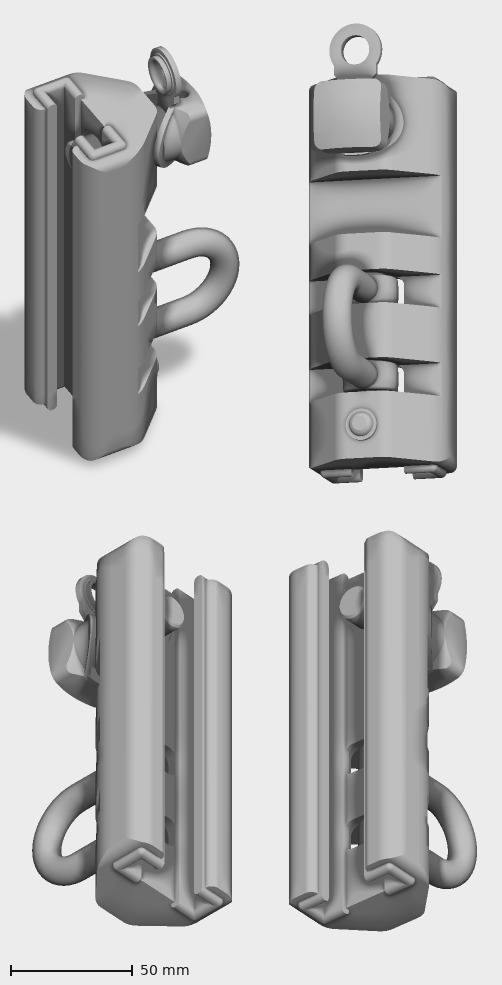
import cadquery as cq
import math


housing_length = 160.0
half_width = 30.0
housing_depth = 44.0
floor_y = 19.4
lip_tip_x = 13.2
lip_corner_radius = 8.0
shoulder_y = 16.5
shoulder_radius = 18.0
back_radius = 8.0
end_corner_radius = 4.0

liner_half_opening = 11.3
liner_outer_x = 25.0
liner_bottom_y = 3.7
lip_tip_radius = liner_bottom_y
liner_height = 17.5
liner_thickness = 4.5
liner_overhang = 2.75
liner_end_round = 2.0
liner_corner_radius = 2.05
liner_top_y = liner_bottom_y + liner_height

slot_bottom_y = 24.0
notch_bottom_z = 14.1
notch_top_z = 40.2
shackle_z = -26.75
slot_height = 14.0
slot_offset = 18.5
window_length = 25.0
window_corner_radius = 4.5

rod_diameter = 12.0
bow_radius = 18.0
bow_center_y = 63.0
eye_diameter = 23.0
eye_height = rod_diameter
eye_bulge = 0.4
eye_edge_round = 1.2
pivot_y = 31.3
pivot_diameter = 12.2
pivot_hole_diameter = 12.3
pivot_end_margin = 4.0

plunger_z = 60.15
pin_diameter = 14.9
pin_tip_y = 9.4
pin_chamfer = 0.95
pin_recess_diameter = 19.8
stem_diameter = 18.0
collar_diameter = 28.6
knob_width = collar_diameter
knob_corner_radius = 3.5
knob_base_y = 52.3
knob_peak_y = 68.9
collar_front_y = 44.5
dome_radius = 45.0
knob_hole_y = 61.0
knob_hole_diameter = 5.0
knob_hole_mouth = 6.5
knob_pilot_diameter = 3.0
knob_hole_depth = 5.0
knob_pilot_depth = 8.0

strap_back_y = 54.3
strap_thickness = 2.4
strap_flat_half = 6.0
strap_wing_angle = 52.5
strap_radius = 15.2
strap_spread = 1.5
neck_base_z = plunger_z + 18.6
neck_width = 18.0
ring_diameter = 22.0
ring_top_z = 99.9
ring_z = ring_top_z - ring_diameter / 2
grommet_diameter = 16.0
grommet_hole = 12.2
grommet_height = 2.7
grommet_hole_round = 1.2
grommet_flare_diameter = 18.0
grommet_flare_height = 0.6

screw_z = -66.2
washer_diameter = 13.2
washer_height = 1.5
button_diameter = 10.0
button_top_diameter = 6.0
button_height = 2.7
button_bulge = 0.4
screw_end_diameter = 5.0
screw_hole_diameter = 6.0
recess_depth = 1.0

half_length = housing_length / 2
diagonal = math.sqrt(0.5)


def y_cylinder(diameter, y_start, y_end, z):
    plane = cq.Workplane("XZ", origin=(0, y_start, z))
    return plane.circle(diameter / 2).extrude(y_start - y_end)


def z_box(x_size, y_start, y_end, z_start, z_end):
    size = (x_size, y_end - y_start, z_end - z_start)
    return cq.Workplane("XY").box(*size, centered=(True, False, False)).translate((0, y_start, z_start))


def housing_half():
    """Half of the housing section, extruded along Z."""
    shoulder_x = half_width - shoulder_radius
    flank_x = shoulder_x + shoulder_radius * diagonal
    flank_y = shoulder_y + shoulder_radius * diagonal
    flank_sum = flank_x + flank_y
    back_flat_x = flank_sum - housing_depth - back_radius * math.tan(math.pi / 8)
    back_center_y = housing_depth - back_radius
    step = math.pi / 8

    def on_arc(center_x, center_y, radius, angle):
        return (center_x + radius * math.cos(angle), center_y + radius * math.sin(angle))

    lip_flat_x = lip_tip_x + lip_tip_radius
    lip_corner_x = half_width - lip_corner_radius
    channel_x = liner_outer_x - liner_thickness
    channel_low = liner_bottom_y + liner_thickness
    channel_high = liner_top_y - liner_thickness
    section = (
        cq.Workplane("XY")
        .moveTo(0, floor_y)
        .lineTo(liner_half_opening, floor_y)
        .lineTo(liner_half_opening, channel_high)
        .lineTo(channel_x, channel_high)
        .lineTo(channel_x, channel_low)
        .lineTo(liner_half_opening, channel_low)
        .lineTo(liner_half_opening, liner_bottom_y)
        .lineTo(lip_tip_x, liner_bottom_y)
        .threePointArc(
            on_arc(lip_flat_x, lip_tip_radius, lip_tip_radius, -6 * step),
            (lip_flat_x, 0),
        )
        .lineTo(lip_corner_x, 0)
        .threePointArc(
            on_arc(lip_corner_x, lip_corner_radius, lip_corner_radius, -2 * step),
            (half_width, lip_corner_radius),
        )
        .lineTo(half_width, shoulder_y)
        .threePointArc(on_arc(shoulder_x, shoulder_y, shoulder_radius, step), (flank_x, flank_y))
        .lineTo(*on_arc(back_flat_x, back_center_y, back_radius, 2 * step))
        .threePointArc(
            on_arc(back_flat_x, back_center_y, back_radius, 3 * step),
            (back_flat_x, housing_depth),
        )
        .lineTo(0, housing_depth)
        .close()
    )
    return section.extrude(half_length, both=True)


def liner():
    """U-shaped liner on the +X side, with rounded ends except across the arm tips."""
    length = housing_length + 2 * liner_overhang
    arm = liner_outer_x - liner_half_opening
    outer = cq.Workplane("XY").box(arm, liner_height, length, centered=(False, False, True))
    channel = cq.Workplane("XY").box(
        arm - liner_thickness, liner_height - 2 * liner_thickness, length, centered=(False, False, True)
    ).translate((0, liner_thickness, 0))
    outer = outer.edges("|Z and >X").fillet(liner_corner_radius)
    strip = outer.cut(channel).translate((liner_half_opening, liner_bottom_y, 0))
    end_edges = strip.faces("<Z or >Z").edges()
    tip_edges = strip.faces("<X").edges()
    rounded_edges = [edge for edge in end_edges.vals() if edge not in tip_edges.vals()]
    return strip.newObject(rounded_edges).fillet(liner_end_round)


def shackle_slot(z):
    """Slot across the back with a round-cornered window through the floor."""
    low = z - slot_height / 2
    high = z + slot_height / 2
    slot = z_box(2 * half_width, slot_bottom_y, housing_depth, low, high)
    window = z_box(window_length, floor_y, slot_bottom_y, low, high)
    return slot.union(window.edges("|Y").fillet(window_corner_radius))


def floor_recess(outer_diameter, inner_diameter, z):
    """Shallow ring around the end of a round part that comes through the floor."""
    hole = y_cylinder(outer_diameter, floor_y, floor_y + recess_depth, z)
    return hole.cut(y_cylinder(inner_diameter, floor_y, floor_y + recess_depth, z))


def back_screw():
    washer_top = housing_depth + washer_height
    washer = y_cylinder(washer_diameter, housing_depth, washer_top, screw_z)
    base = button_diameter / 2
    top = button_top_diameter / 2
    bulge = ((base + top) / 2 + button_bulge, washer_top + button_height / 2 + button_bulge)
    button = (
        cq.Workplane("XY", origin=(0, 0, screw_z))
        .moveTo(0, washer_top)
        .lineTo(base, washer_top)
        .threePointArc(bulge, (top, washer_top + button_height))
        .lineTo(0, washer_top + button_height)
        .close()
        .revolve(360, (0, 0, 0), (0, 1, 0))
    )
    return washer.union(button)


def space_under_strap():
    """Everything in front of the strap's back face, from the flat middle down along both wings."""
    tip_x = strap_spread + strap_radius
    wing_drop = (tip_x - strap_flat_half) * math.tan(math.radians(strap_wing_angle))
    tip_y = strap_back_y - wing_drop
    right = [(strap_flat_half, strap_back_y), (tip_x, tip_y)]
    left = [(-x, y) for x, y in reversed(right)]
    section = cq.Workplane("XY", origin=(0, 0, plunger_z)).polyline(right + left).close()
    return section.extrude(knob_width, both=True)


def knob():
    """Square knob with a domed back, a conical base and a hole in its upper side."""
    half_diagonal = knob_width * diagonal
    low = plunger_z - knob_width / 2
    top_z = plunger_z + knob_width / 2
    block = z_box(knob_width, collar_front_y, knob_peak_y, low, top_z)
    block = block.edges("|Y").fillet(knob_corner_radius)
    collar_radius = collar_diameter / 2
    dome_center_y = knob_peak_y - dome_radius
    rim_y = dome_center_y + math.sqrt(dome_radius**2 - half_diagonal**2)
    dome_mid_y = dome_center_y + math.sqrt(dome_radius**2 - half_diagonal**2 / 4)
    turned = (
        cq.Workplane("XY", origin=(0, 0, plunger_z))
        .moveTo(0, collar_front_y)
        .lineTo(collar_radius, collar_front_y)
        .lineTo(collar_radius, knob_base_y)
        .lineTo(half_diagonal, knob_base_y + half_diagonal - collar_radius)
        .lineTo(half_diagonal, rim_y)
        .threePointArc((half_diagonal / 2, dome_mid_y), (0, knob_peak_y))
        .close()
        .revolve(360, (0, 0, 0), (0, 1, 0))
    )
    mouth_radius = knob_hole_mouth / 2
    hole_radius = knob_hole_diameter / 2
    pilot_radius = knob_pilot_diameter / 2
    hole = (
        cq.Workplane("XZ", origin=(0, knob_hole_y, 0))
        .moveTo(0, top_z)
        .lineTo(mouth_radius, top_z)
        .lineTo(hole_radius, top_z - (mouth_radius - hole_radius))
        .lineTo(hole_radius, top_z - knob_hole_depth)
        .lineTo(pilot_radius, top_z - knob_hole_depth)
        .lineTo(pilot_radius, top_z - knob_pilot_depth)
        .lineTo(0, top_z - knob_pilot_depth - pilot_radius)
        .close()
        .revolve(360, (0, 0, 0), (0, 1, 0))
    )
    return block.intersect(turned).cut(space_under_strap()).cut(hole)


def strap_wing():
    """Wing on the +X side: an ellipse that looks round along Y, cut at the bend and folded down."""
    stretch = 1 / math.cos(math.radians(strap_wing_angle))
    bend_offset = (strap_flat_half - strap_spread) * stretch
    blank = (
        cq.Workplane("XZ", origin=(-bend_offset, 0, 0))
        .ellipse(strap_radius * stretch, strap_radius)
        .extrude(strap_thickness)
    )
    reach = strap_radius * stretch
    beyond_bend = cq.Workplane("XY").box(reach, reach, 2 * reach, centered=(False, True, True))
    wing = blank.intersect(beyond_bend).rotate((0, 0, 0), (0, 0, 1), -strap_wing_angle)
    return wing.translate((strap_flat_half, strap_back_y, plunger_z))


def pull_strap():
    """Plate bent over the housing back, with a neck and a pull ring around a grommet."""
    front_y = strap_back_y - strap_thickness
    low = plunger_z - strap_radius
    high = plunger_z + strap_radius
    middle = z_box(2 * strap_flat_half, front_y, strap_back_y, low, high)
    outline = cq.Workplane("XZ", origin=(0, strap_back_y, plunger_z))
    outline = outline.slot2D(2 * (strap_spread + strap_radius), 2 * strap_radius).extrude(strap_thickness)
    middle = middle.intersect(outline)
    wing = strap_wing()
    neck_half = neck_width / 2
    neck_points = [
        (-strap_flat_half, plunger_z),
        (-strap_flat_half, high),
        (-neck_half, neck_base_z),
        (-neck_half, ring_z),
    ]
    neck_points += [(-x, z) for x, z in reversed(neck_points)]
    neck = cq.Workplane("XZ", origin=(0, strap_back_y, 0)).polyline(neck_points).close()
    neck = neck.extrude(strap_thickness)
    ring = y_cylinder(ring_diameter, front_y, strap_back_y, ring_z)
    flare = y_cylinder(grommet_flare_diameter, front_y - grommet_flare_height, front_y, ring_z)
    grommet = y_cylinder(grommet_diameter, front_y - grommet_height, front_y, ring_z)
    hole = y_cylinder(grommet_hole, front_y - grommet_height, strap_back_y, ring_z)
    ring = ring.union(flare).union(grommet).union(neck).cut(hole)
    ring = ring.faces("<Y").edges(cq.selectors.RadiusNthSelector(0)).fillet(grommet_hole_round)
    return middle.union(wing).union(wing.mirror("YZ")).union(ring)


def plunger_pin():
    pin = y_cylinder(pin_diameter, pin_tip_y, housing_depth, plunger_z).faces("<Y").chamfer(pin_chamfer)
    stem = y_cylinder(stem_diameter, housing_depth, knob_base_y, plunger_z)
    return pin.union(stem)


def pivot(diameter):
    reach = slot_offset + slot_height / 2 + pivot_end_margin
    rod = cq.Workplane("XY", origin=(0, pivot_y, shackle_z)).circle(diameter / 2)
    return rod.extrude(reach, both=True)


def slider():
    """Housing with liners, pivot pin, plunger, strap and screw as one solid."""
    half = housing_half()
    body = half.union(half.mirror("YZ"))
    blank = z_box(2 * half_width, 0, housing_depth, -half_length, half_length)
    body = body.intersect(blank.edges("|Y").fillet(end_corner_radius))
    body = body.cut(z_box(2 * half_width, slot_bottom_y, housing_depth, notch_bottom_z, notch_top_z))
    for side in (-1, 1):
        body = body.cut(shackle_slot(shackle_z + side * slot_offset))
    side_liner = liner()
    body = body.union(side_liner).union(side_liner.mirror("YZ"))
    body = body.cut(floor_recess(pin_recess_diameter, pin_diameter, plunger_z))
    body = body.cut(floor_recess(screw_hole_diameter, screw_end_diameter, screw_z))
    body = body.union(pivot(pivot_diameter)).union(back_screw())
    return body.union(plunger_pin()).union(knob()).union(pull_strap())


def shackle_eye(z):
    """Barrel-shaped eye around the pivot."""
    radius = eye_diameter / 2
    half = eye_height / 2
    barrel = (
        cq.Workplane("XZ", origin=(0, pivot_y, z))
        .moveTo(0, -half)
        .lineTo(radius - eye_bulge, -half)
        .threePointArc((radius, 0), (radius - eye_bulge, half))
        .lineTo(0, half)
        .close()
        .revolve(360, (0, 0, 0), (0, 1, 0))
    )
    return barrel.faces("<Z or >Z").edges().fillet(eye_edge_round)


def shackle():
    """U-shaped bow whose two eyes turn on the pivot pin."""
    path = (
        cq.Workplane("YZ", origin=(0, 0, shackle_z))
        .moveTo(pivot_y, -bow_radius)
        .lineTo(bow_center_y, -bow_radius)
        .threePointArc((bow_center_y + bow_radius, 0), (bow_center_y, bow_radius))
        .lineTo(pivot_y, bow_radius)
    )
    start = cq.Workplane("XZ", origin=(0, pivot_y, shackle_z - bow_radius))
    bow = start.circle(rod_diameter / 2).sweep(path)
    for side in (-1, 1):
        bow = bow.union(shackle_eye(shackle_z + side * bow_radius))
    return bow.cut(pivot(pivot_hole_diameter))


result = cq.Compound.makeCompound([slider().val(), shackle().val()])